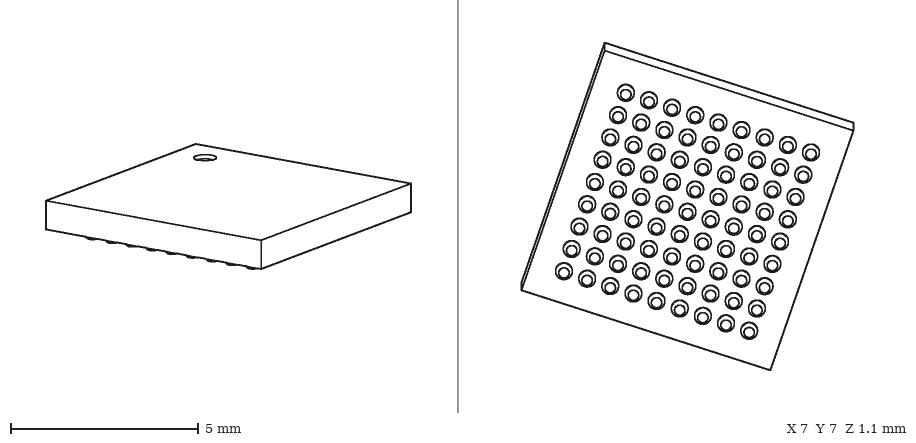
import cadquery as cq

body_side = 7.0
total_height = 1.1
standoff = 0.3
body_height = total_height - standoff

balls_per_side = 9
ball_pitch = 0.65
ball_diameter = 0.45
ball_center_height = 0.175

mark_inset = 1.0
mark_top_diameter = 0.6
mark_floor_diameter = 0.48
mark_depth = 0.1


def make_body():
    """Slab with its underside at the standoff height."""
    return cq.Workplane("XY", origin=(0, 0, standoff)).rect(body_side, body_side).extrude(body_height)


def make_balls():
    """Grid of spheres reaching into the body, each cut off flat at its bottom."""
    balls = (
        cq.Workplane("XY", origin=(0, 0, ball_center_height))
        .rarray(ball_pitch, ball_pitch, balls_per_side, balls_per_side)
        .sphere(ball_diameter / 2)
    )
    space_above_flats = cq.Workplane("XY").rect(body_side, body_side).extrude(total_height)
    return balls.intersect(space_above_flats)


def make_mark():
    """Tapered cutter for the dimple, wide end flush with the top face."""
    center = (mark_inset - body_side / 2, body_side / 2 - mark_inset, total_height)
    return (
        cq.Workplane("XY", origin=center)
        .circle(mark_top_diameter / 2)
        .workplane(offset=-mark_depth)
        .circle(mark_floor_diameter / 2)
        .loft(ruled=True)
    )


result = make_body().union(make_balls()).cut(make_mark())